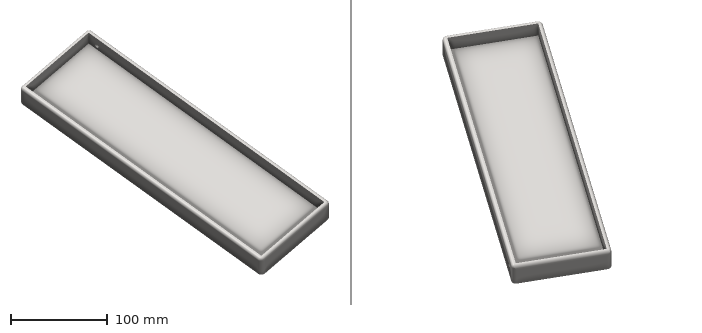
import cadquery as cq

length = 340.5
width = 106.0
height = 25.5

wall = 4.8
floor = 7.5

corner_radius = 4.8
rim_radius = 3.0
left_rim_radius = 4.7

hole_diameter = 5.0
hole_from_left = 16.0
hole_height = 13.3


def plain_block():
    """Rectangular block standing on Z = 0 and centred in X and Y."""
    return cq.Workplane("XY").box(length, width, height, centered=(True, True, False))


def rounded_block():
    """Block with rounded corners and a rim rounding that is larger at the left end."""
    block = plain_block().edges("|Z").fillet(corner_radius).faces(">Z").edges().fillet(rim_radius)
    left_rounding = plain_block().edges(">Z and <X").fillet(left_rim_radius)
    return block.intersect(left_rounding)


def cavity():
    """Open rectangular pocket above the floor."""
    return (
        cq.Workplane("XY")
        .workplane(offset=floor)
        .rect(length - 2 * wall, width - 2 * wall)
        .extrude(height - floor)
    )


def back_hole():
    """Cutter for the hole, reaching from the outer back face into the cavity."""
    return (
        cq.Workplane("XZ", origin=(hole_from_left - length / 2, width / 2, hole_height))
        .circle(hole_diameter / 2)
        .extrude(2 * wall)
    )


result = rounded_block().cut(cavity()).cut(back_hole())